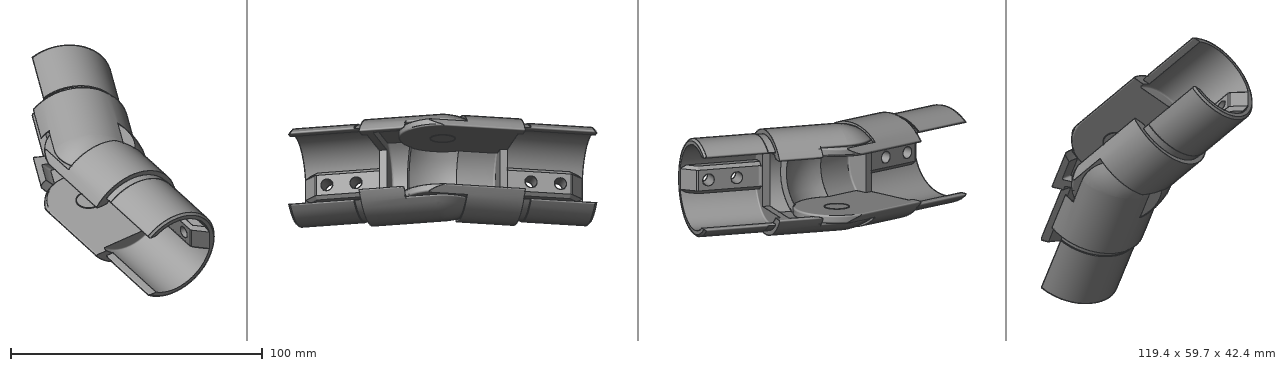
import cadquery as cq
import math

BEND_ANGLE = 25.0

BARREL_R = 21.2
BARREL_END = 30.0
CAVITY_R = 18.8
CAVITY_FILLET = 0.7
SLOT_HALF = 12.0
SLOT_FLOOR_Y = 9.05
BULKHEAD_START = 25.0
BULKHEAD_END = 28.0
LIP_FILLET = 0.5

SPIGOT_R = 19.6
SPIGOT_BORE_R = 17.15
SPIGOT_END = 60.0
SPIGOT_CHAMFER = 0.9
SPIGOT_SLOT_HALF = 14.5
NECK_R = 19.3
NECK_END = 33.0
BORE_FILLET = 0.6

BAR_HALF_WIDTH = 5.6
BAR_FACE_Y = 11.2
BAR_CHAMFER = 1.4
BAR_RAMP = 5.4
BAR_CREASE_CHAMFER = 0.4
BAR_ROOT_FILLET = 1.0
HOLE_D = 4.8
HOLE_XS = (38.1, 50.0)

LAP_Z = 15.3
TONGUE_R = 17.4
TONGUE_FILLET = 0.8
SHELL_R = 24.0
SHELL_INNER_R = 21.0
SHELL_EDGE_X = -9.85
BALL_CLEARANCE = 0.2
CHEEK_START_X = 7.0
CHEEK_CORNER_Y = 8.1
CHEEK_RELIEF_ANGLE = 31.5
PIN_R = 5.0
PIN_TOP_Z = 18.0
PIN_CHAMFER = 0.2

REACH = 100.0
PICK = 0.1


def block(x0, x1, y0, y1, z0, z1):
    return cq.Workplane("XY").box(x1 - x0, y1 - y0, z1 - z0, centered=False).translate((x0, y0, z0))


def slab(x0, x1, y0, y1, half_height):
    return block(x0, x1, y0, y1, -half_height, half_height)


def x_cylinder(radius, x0, x1):
    return cq.Workplane("YZ").workplane(offset=x0).circle(radius).extrude(x1 - x0)


def z_cylinder(radius, z0, z1):
    return cq.Workplane("XY").workplane(offset=z0).circle(radius).extrude(z1 - z0)


def ball(radius):
    return cq.Workplane("XY").sphere(radius)


def round_lips(body, x0, x1, mouth_y, half_width):
    """Round the two long outer edges of a slot, found by their middle points."""
    for z in (half_width, -half_width):
        lip = cq.selectors.BoxSelector((x0, mouth_y - PICK, z - PICK), (x1, mouth_y + PICK, z + PICK))
        body = body.edges("|X").edges(lip).fillet(LIP_FILLET)
    return body


def spigot():
    """Tube plug from the bulkhead outwards, with a thinner neck next to the barrel."""
    body = x_cylinder(SPIGOT_R, NECK_END, SPIGOT_END).faces(">X").chamfer(SPIGOT_CHAMFER)
    body = body.faces("<X").chamfer(SPIGOT_R - NECK_R)
    body = body.union(x_cylinder(NECK_R, BULKHEAD_END, NECK_END))
    body = body.cut(x_cylinder(SPIGOT_BORE_R, BULKHEAD_END, SPIGOT_END))
    body = body.cut(slab(BULKHEAD_END, SPIGOT_END, -BARREL_R, 0, SPIGOT_SLOT_HALF))
    mouth_y = -math.sqrt(SPIGOT_R**2 - SPIGOT_SLOT_HALF**2)
    return round_lips(body, NECK_END, SPIGOT_END, mouth_y, SPIGOT_SLOT_HALF)


def screw_bar():
    """Bar on the bore wall, ramped at the open end and blended into the bulkhead."""
    top_y = (SPIGOT_R + SPIGOT_BORE_R) / 2
    bar = (
        cq.Workplane("XY")
        .moveTo(BULKHEAD_END, BAR_FACE_Y)
        .lineTo(SPIGOT_END - BAR_RAMP, BAR_FACE_Y)
        .lineTo(SPIGOT_END, BAR_FACE_Y + BAR_RAMP)
        .lineTo(SPIGOT_END, top_y)
        .lineTo(BULKHEAD_END, top_y)
        .close()
        .extrude(BAR_HALF_WIDTH, both=True)
    )
    crease_x = SPIGOT_END - BAR_RAMP
    crease = cq.selectors.BoxSelector(
        (crease_x - PICK, BAR_FACE_Y - PICK, -REACH), (crease_x + PICK, BAR_FACE_Y + PICK, REACH)
    )
    bar = bar.edges("|Z").edges(crease).chamfer(BAR_CREASE_CHAMFER)
    face_and_ramp = cq.selectors.BoxSelector(
        (BULKHEAD_END + PICK, BAR_FACE_Y - PICK, -REACH), (SPIGOT_END - PICK, BAR_FACE_Y + BAR_RAMP, REACH)
    )
    bar = bar.edges("not |Z").edges(face_and_ramp).chamfer(BAR_CHAMFER)
    root = (
        cq.Workplane("XY")
        .moveTo(BULKHEAD_END, BAR_FACE_Y)
        .lineTo(BULKHEAD_END, BAR_FACE_Y - BAR_ROOT_FILLET)
        .radiusArc((BULKHEAD_END + BAR_ROOT_FILLET, BAR_FACE_Y), BAR_ROOT_FILLET)
        .close()
        .extrude(BAR_HALF_WIDTH - BAR_CHAMFER, both=True)
    )
    return bar.union(root).intersect(x_cylinder(top_y, BULKHEAD_END, SPIGOT_END))


def cavity_bore():
    """Round space between the pivot and the bulkhead."""
    return x_cylinder(CAVITY_R, 0, BULKHEAD_START).faces(">X").edges().fillet(CAVITY_FILLET)


def arm_blank(start_x):
    """Slotted barrel, bulkhead, spigot and screw bar, with the barrel solid up to the bulkhead."""
    bore = x_cylinder(SPIGOT_BORE_R, BULKHEAD_END, BARREL_END).faces("<X").edges().fillet(BORE_FILLET)
    barrel = x_cylinder(BARREL_R, start_x, BARREL_END).cut(bore)
    barrel = barrel.cut(slab(start_x, BARREL_END, -BARREL_R, SLOT_FLOOR_Y, SLOT_HALF))
    mouth_y = -math.sqrt(BARREL_R**2 - SLOT_HALF**2)
    barrel = round_lips(barrel, start_x, BARREL_END, mouth_y, SLOT_HALF)
    arm = barrel.union(spigot().intersect(slab(BARREL_END, SPIGOT_END, -REACH, REACH, REACH)))
    arm = arm.union(screw_bar())
    holes = cq.Workplane("XZ").pushPoints([(x, 0) for x in HOLE_XS]).circle(HOLE_D / 2).extrude(-REACH)
    return arm.cut(holes)


def upper_and_lower(shape):
    return shape.union(shape.mirror("XY"))


def tongue_arm():
    """Arm along +X with the inner hinge tongues and the round back cover."""
    arm = arm_blank(-BARREL_R)

    slant_x = (BARREL_R - CHEEK_CORNER_Y) * math.tan(math.radians(CHEEK_RELIEF_ANGLE))
    relief = (
        cq.Workplane("XY")
        .workplane(offset=LAP_Z)
        .moveTo(CHEEK_START_X, -BARREL_R)
        .lineTo(CHEEK_START_X, CHEEK_CORNER_Y)
        .lineTo(CHEEK_START_X + slant_x, BARREL_R)
        .lineTo(-BARREL_R, BARREL_R)
        .lineTo(-BARREL_R, -BARREL_R)
        .close()
        .extrude(BARREL_R)
    )
    seat = ball(BARREL_R + BALL_CLEARANCE).intersect(block(-REACH, REACH, -REACH, REACH, LAP_Z, REACH))
    arm = arm.cut(upper_and_lower(relief.union(seat)))

    tip = z_cylinder(TONGUE_R, SLOT_HALF, LAP_Z).edges().fillet(TONGUE_FILLET)
    keep = upper_and_lower(tip).union(slab(0, REACH, -REACH, REACH, REACH))
    arm = arm.intersect(keep)

    shell = ball(SHELL_R).intersect(slab(SHELL_EDGE_X, BULKHEAD_START, 0, SHELL_R, LAP_Z))
    arm = arm.union(shell)
    hollow = ball(SHELL_INNER_R).union(cavity_bore())
    arm = arm.cut(hollow.intersect(slab(-REACH, BULKHEAD_START, -REACH, REACH, SLOT_HALF)))
    return arm.cut(pin_holes())


def lap_cap(length):
    """Upper cap of the fork: a barrel segment ending in a ball, with its lower rim rounded."""
    cap = x_cylinder(BARREL_R, 0, length).intersect(block(0, length, -REACH, REACH, LAP_Z, REACH))
    dome = ball(BARREL_R).intersect(block(-REACH, 0, -REACH, REACH, LAP_Z, REACH))
    cap = cap.union(dome)
    return cap.faces("<Z").edges("not |Y").fillet(LIP_FILLET)


def fork_arm():
    """Arm whose outer caps lap over the tongues and end in a ball, turned to the bend angle."""
    clearance_r = SHELL_R + BALL_CLEARANCE
    shoulder_x = math.sqrt(clearance_r**2 - BARREL_R**2)
    arm = arm_blank(shoulder_x)
    hollow = cavity_bore().union(ball(clearance_r))
    arm = arm.cut(hollow.intersect(slab(-REACH, BULKHEAD_START, -REACH, REACH, LAP_Z)))
    arm = arm.union(upper_and_lower(lap_cap(shoulder_x)))
    arm = arm.mirror("YZ").rotate((0, 0, 0), (0, 0, 1), -BEND_ANGLE)
    return arm.cut(pin_holes())


def pin_holes():
    return upper_and_lower(z_cylinder(PIN_R, SLOT_HALF, PIN_TOP_Z))


def pins():
    """Upper and lower hinge pins, flush with the slot walls."""
    upper = z_cylinder(PIN_R, SLOT_HALF, PIN_TOP_Z).faces("<Z").chamfer(PIN_CHAMFER)
    return upper_and_lower(upper)


tongue = tongue_arm()
fork = fork_arm()
result = cq.Compound.makeCompound([tongue.val(), fork.val(), *pins().solids().vals()])